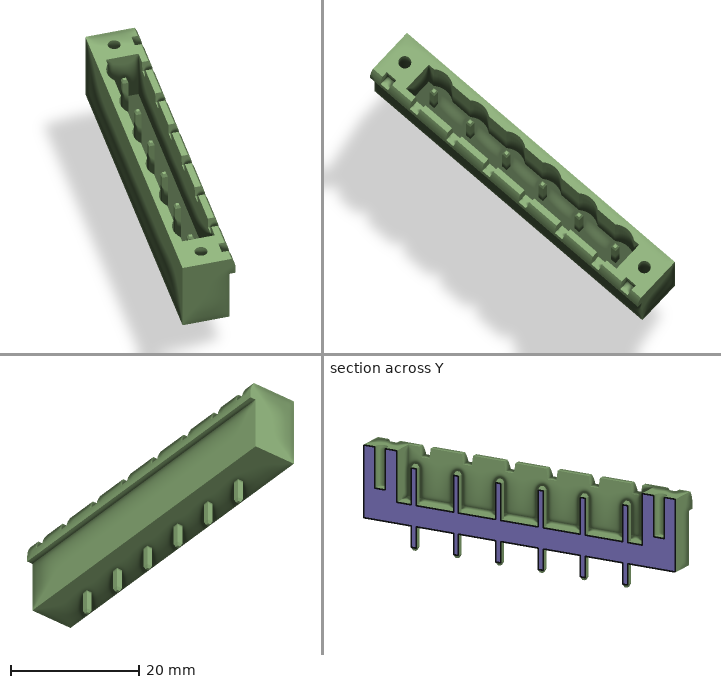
import cadquery as cq
length = 56.3
depth = 7.6
height = 12.0

total_depth = 8.6
lip_height = 3.05
lip_crown_drop = 2.0
lip_crown_inset = 0.7

pin_count = 6
row_length = 38.1
pitch = row_length / (pin_count - 1)
pin_y = 3.85
pin_width = 0.95
pin_tip_taper = 0.2
pin_tip_length = 0.5
pin_drop = 4.0
pin_top = 10.1

cavity_length = 44.2
cavity_front = 1.65
back_wall = 1.7
cavity_back = total_depth - back_wall
cavity_depth = 8.45
scallop_half_width = 1.95
scallop_depth = 0.7

notch_top_width = 2.0
notch_floor_width = 1.5
notch_depth = 1.7

hole_diameter = 2.0
hole_spacing = 50.35
hole_depth = 6.75

pin_positions = [i * pitch - row_length / 2 for i in range(pin_count)]
hole_positions = [-hole_spacing / 2, hole_spacing / 2]


def make_housing():
    """Long bar with a lip whose upper back edge is rounded."""
    crown_bottom = height - lip_crown_drop
    profile = (
        cq.Workplane("YZ", origin=(-length / 2, 0, 0))
        .lineTo(depth, 0)
        .lineTo(depth, height - lip_height)
        .lineTo(total_depth, height - lip_height)
        .lineTo(total_depth, crown_bottom)
        .tangentArcPoint((total_depth - lip_crown_inset, height), relative=False)
        .lineTo(0, height)
        .close()
    )
    return profile.extrude(length)


def make_cavity():
    """Open-topped pocket with a scallop in its front wall at every pin."""
    outline = cq.Workplane("XY", origin=(0, 0, height - cavity_depth))
    outline = outline.moveTo(-cavity_length / 2, cavity_front)
    for x in pin_positions:
        outline = outline.lineTo(x - scallop_half_width, cavity_front).threePointArc(
            (x, cavity_front - scallop_depth),
            (x + scallop_half_width, cavity_front),
        )
    outline = (
        outline.lineTo(cavity_length / 2, cavity_front)
        .lineTo(cavity_length / 2, cavity_back)
        .lineTo(-cavity_length / 2, cavity_back)
        .close()
    )
    return outline.extrude(cavity_depth)


def make_notch(x):
    """Notch with sloping sides, open at the top and the back."""
    floor = height - notch_depth
    section = cq.Workplane("XZ", origin=(x, total_depth, 0)).polyline(
        [
            (-notch_top_width / 2, height),
            (-notch_floor_width / 2, floor),
            (notch_floor_width / 2, floor),
            (notch_top_width / 2, height),
        ]
    )
    return section.close().extrude(back_wall)


def make_pin_tip(x, z_base, direction):
    """Tapered pin end growing up (direction 1) or down (direction -1)."""
    end_width = pin_width - 2 * pin_tip_taper
    return (
        cq.Workplane("XY", origin=(x, pin_y, z_base))
        .rect(pin_width, pin_width)
        .workplane(offset=direction * pin_tip_length)
        .rect(end_width, end_width)
        .loft()
    )


def make_pin(x):
    """Square pin tapered at both ends."""
    shank_bottom = pin_tip_length - pin_drop
    shank_top = pin_top - pin_tip_length
    shank = (
        cq.Workplane("XY", origin=(x, pin_y, shank_bottom))
        .rect(pin_width, pin_width)
        .extrude(shank_top - shank_bottom)
    )
    return shank.union(make_pin_tip(x, shank_bottom, -1)).union(make_pin_tip(x, shank_top, 1))


def make_hole(x):
    """Blind hole in an end block."""
    return (
        cq.Workplane("XY", origin=(x, pin_y, height - hole_depth))
        .circle(hole_diameter / 2)
        .extrude(hole_depth)
    )


result = make_housing().cut(make_cavity())
for x in pin_positions + hole_positions:
    result = result.cut(make_notch(x))
for x in hole_positions:
    result = result.cut(make_hole(x))
for x in pin_positions:
    result = result.union(make_pin(x))